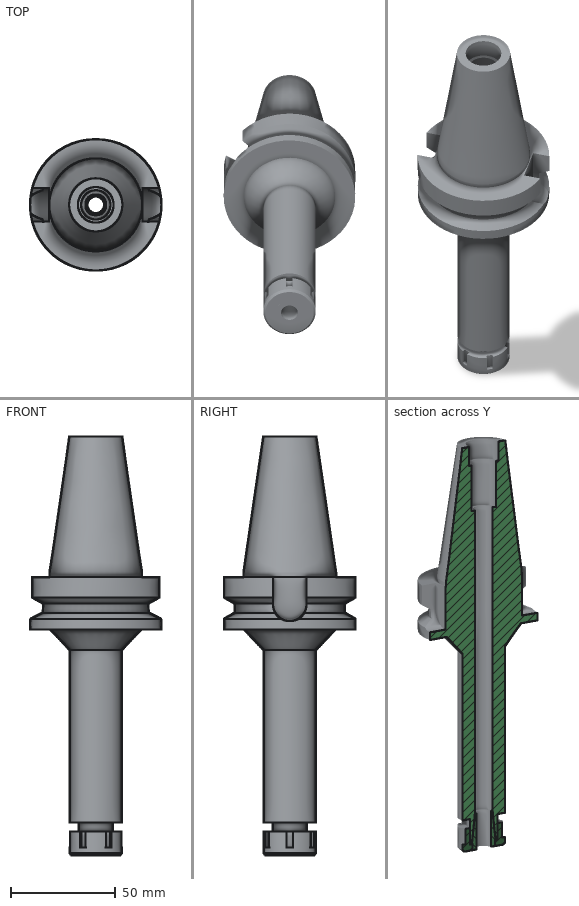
import cadquery as cq
import math


total_length = 200.5
taper_length = 65.3
gauge_z = total_length - taper_length
land_height = 2.0
flange_top_z = gauge_z - land_height
flange_height = 25.0
flange_bottom_z = flange_top_z - flange_height
nose_cone_height = 9.8
shank_top_z = flange_bottom_z - nose_cone_height
nut_height = 11.5
neck_height = 4.2
shank_bottom_z = nut_height + neck_height

taper_small_diameter = 25.5
taper_large_diameter = 44.5
flange_diameter = 63.0
nose_cone_diameter = 43.7
shank_diameter = 25.0
neck_diameter = 16.5

groove_diameter = 53.0
groove_floor_width = 4.5
groove_centre_depth = 14.8
groove_flank_angle = 60.0

keyway_width = 16.0
keyway_depth = 21.0
keyway_floor_radius = 22.5

counterbore_diameter = 17.0
counterbore_depth = 9.5
thread_bore_diameter = 14.0
thread_bore_depth = 32.0
coolant_bore_diameter = 10.0

collet_length = 18.0
collet_nose_diameter = 13.6
collet_bore_diameter = 8.0

nut_diameter = 25.0
nut_chamfer = 1.0
nut_floor_thickness = 3.0
slot_count = 6
slot_width = 3.0
slot_length = 7.6
slot_depth = 1.6


def disc(diameter, bottom_z, top_z):
    """Cylinder on the Z axis between two heights."""
    return cq.Workplane("XY").workplane(offset=bottom_z).circle(diameter / 2).extrude(top_z - bottom_z)


def revolve_profile(points):
    """Solid of revolution about Z from (radius, height) points."""
    return cq.Workplane("YZ").polyline(points).close().revolve(360, (0, 0, 0), (0, 1, 0))


def collet_envelope():
    """Outside of the collet: a straight nose in the nut and a cone in the holder."""
    return revolve_profile([
        (0, 0),
        (collet_nose_diameter / 2, 0),
        (collet_nose_diameter / 2, nut_floor_thickness),
        (coolant_bore_diameter / 2, collet_length),
        (0, collet_length),
    ])


def holder_blank():
    """Turned outside of the holder, from the neck up to the small end of the taper."""
    flank_height = (flange_diameter - groove_diameter) / 2 / math.tan(math.radians(groove_flank_angle))
    groove_z = flange_top_z - groove_centre_depth
    floor_half = groove_floor_width / 2
    mouth_half = floor_half + flank_height
    return revolve_profile([
        (0, nut_floor_thickness),
        (neck_diameter / 2, nut_floor_thickness),
        (neck_diameter / 2, shank_bottom_z),
        (shank_diameter / 2, shank_bottom_z),
        (shank_diameter / 2, shank_top_z),
        (nose_cone_diameter / 2, flange_bottom_z),
        (flange_diameter / 2, flange_bottom_z),
        (flange_diameter / 2, groove_z - mouth_half),
        (groove_diameter / 2, groove_z - floor_half),
        (groove_diameter / 2, groove_z + floor_half),
        (flange_diameter / 2, groove_z + mouth_half),
        (flange_diameter / 2, flange_top_z),
        (taper_large_diameter / 2, flange_top_z),
        (taper_large_diameter / 2, gauge_z),
        (taper_small_diameter / 2, total_length),
        (0, total_length),
    ])


def keyway_cutter(side):
    """Round-bottomed keyway, open at the top of the flange; side is -1 or +1 along X."""
    half_width = keyway_width / 2
    keyway_bottom_z = flange_top_z - keyway_depth
    arc_centre_z = keyway_bottom_z + half_width
    outline = (
        cq.Workplane("YZ", origin=(side * keyway_floor_radius, 0, 0))
        .moveTo(-half_width, flange_top_z)
        .lineTo(-half_width, arc_centre_z)
        .threePointArc((0, keyway_bottom_z), (half_width, arc_centre_z))
        .lineTo(half_width, flange_top_z)
        .close()
    )
    return outline.extrude(side * flange_diameter / 2)


def make_holder():
    """Taper shank holder with flange, keyways, stepped bore and collet seat."""
    holder = holder_blank()
    for side in (-1, 1):
        holder = holder.cut(keyway_cutter(side))
    holder = holder.cut(disc(counterbore_diameter, total_length - counterbore_depth, total_length))
    holder = holder.cut(disc(thread_bore_diameter, total_length - thread_bore_depth, total_length))
    holder = holder.cut(disc(coolant_bore_diameter, collet_length, total_length))
    return holder.cut(collet_envelope())


def make_collet():
    """Collet with a straight through bore."""
    return collet_envelope().cut(disc(collet_bore_diameter, 0, collet_length))


def make_nut():
    """Clamping nut around the neck and the collet nose, with wrench slots open at its rear."""
    nut = disc(nut_diameter, 0, nut_height).faces("<Z").edges().chamfer(nut_chamfer)
    nut = nut.cut(disc(neck_diameter, nut_floor_thickness, nut_height))
    nut = nut.cut(disc(collet_nose_diameter, 0, nut_floor_thickness))
    slot = cq.Workplane("XY").box(2 * slot_depth, slot_width, slot_length).translate(
        (nut_diameter / 2, 0, nut_height - slot_length / 2)
    )
    for index in range(slot_count):
        nut = nut.cut(slot.rotate((0, 0, 0), (0, 0, 1), index * 360 / slot_count))
    return nut


holder = make_holder()
collet = make_collet()
nut = make_nut()

result = cq.Compound.makeCompound([holder.val(), collet.val(), nut.val()])